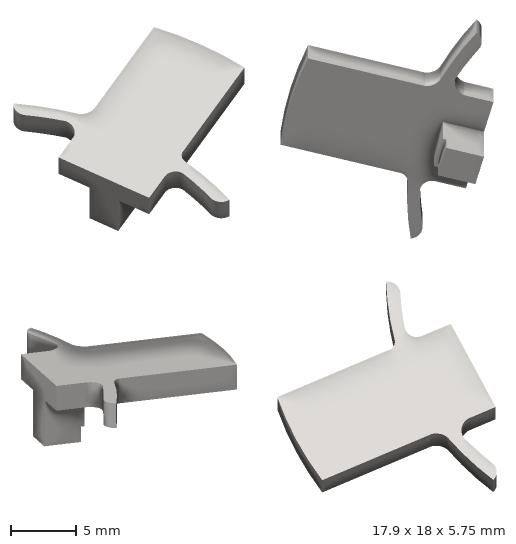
import cadquery as cq

axis_angle = -44.8
half_width = 3.99
side_length = 14.71
end_bulge = 0.29
plate_thickness = 2.0

foot_half_width = 1.26
foot_upper_length = 3.27
foot_lower_length = 2.98
foot_bulge = 0.05
foot_upper_height = 2.5
foot_height = 3.75

wing_center = -0.09
front_fillet_start = -5.45
front_fillet_middle = (-4.8, 4.2)
front_edge_start = (-4.45, 4.71)
front_edge_middle = (-3.8, 7.11)
wing_tip = (-2.89, 9.51)
tip_round_middle = (-2.35, 8.99)
rear_edge_end = (-2.3, 8.27)
rear_edge_middle = (-2.89, 6.7)
rear_fillet_start = (-3.35, 5.18)
rear_fillet_middle = (-3.1, 4.37)
rear_fillet_end = -2.33


def wing_point(point, side):
    """Place a wing edge point on the +V side (side = 1) or the -V side (side = -1)."""
    return (point[0], wing_center + side * point[1])


def make_wing(side):
    """Curved wing with a rounded rear tip and filleted roots on one side of the plate."""
    return (
        cq.Workplane("XY")
        .moveTo(front_fillet_start, side * half_width)
        .threePointArc(wing_point(front_fillet_middle, side), wing_point(front_edge_start, side))
        .threePointArc(wing_point(front_edge_middle, side), wing_point(wing_tip, side))
        .threePointArc(wing_point(tip_round_middle, side), wing_point(rear_edge_end, side))
        .threePointArc(wing_point(rear_edge_middle, side), wing_point(rear_fillet_start, side))
        .threePointArc(wing_point(rear_fillet_middle, side), (rear_fillet_end, side * half_width))
        .lineTo(rear_fillet_end, 0)
        .lineTo(front_fillet_start, 0)
        .close()
        .extrude(plate_thickness)
    )


def make_block(length, width, bulge, height):
    """Block ending flat at U = 0, with a convex opposite end; a negative height goes down."""
    return (
        cq.Workplane("XY")
        .moveTo(0, -width / 2)
        .lineTo(-length, -width / 2)
        .threePointArc((-length - bulge, 0), (-length, width / 2))
        .lineTo(0, width / 2)
        .close()
        .extrude(height)
    )


plate = make_block(side_length, 2 * half_width, end_bulge, plate_thickness)
for side in (1, -1):
    plate = plate.union(make_wing(side))

foot_width = 2 * foot_half_width
foot_upper = make_block(foot_upper_length, foot_width, foot_bulge, -foot_upper_height)
foot_lower = make_block(foot_lower_length, foot_width, foot_bulge, -foot_height)

result = plate.union(foot_upper).union(foot_lower).rotate((0, 0, 0), (0, 0, 1), axis_angle)